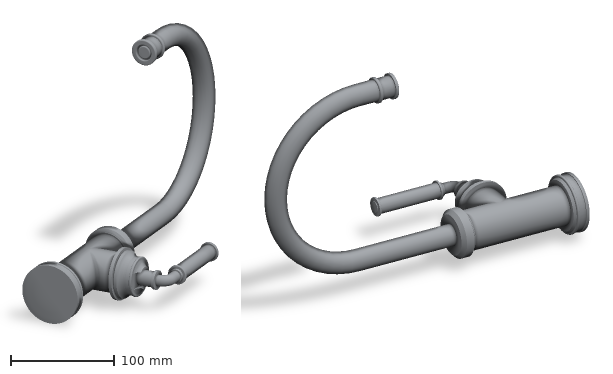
import cadquery as cq

body_radius = 20.3
body_top = 137.5
base_radius = 30.0
base_waist_radius = 29.0
base_foot_height = 3.5
base_rim_bottom = 10.3
base_rim_top = 13.0
base_rim_rounding = 1.0
base_shoulder_radius = 27.5
base_shoulder_top_radius = 25.8
base_height = 15.8
collar_radius = 24.8
collar_seat_radius = 21.5
collar_bottom = 122.5
collar_seat_height = 1.0
collar_lower_chamfer = 1.7
collar_upper_chamfer = 3.8
collar_top_radius = 20.5

total_length = 343.8
spout_radius = 11.0
bend_radius = 90.5
bend_start = total_length - bend_radius - spout_radius
nozzle_height = 2 * bend_radius
nozzle_end = 202.0
nozzle_ring_radius = 13.0
nozzle_ring_width = 3.5
nozzle_inner_ring_offset = 17.5
nozzle_rounding = 1.0
outlet_radius = 8.0
outlet_depth = 3.5
aerator_radius = 6.5
aerator_height = 2.8

branch_height = 81.5
branch_undersize = 0.07
branch_radius = body_radius - branch_undersize
branch_fillet = 2.0
flange_start = 35.5
flange_end = 39.0
flange_radius = 26.0
bonnet_radius = 23.7
bonnet_chamfer = 1.0
bonnet_shoulder = 43.0
bonnet_cove_middle = (45.5, 21.0)
bonnet_neck_start = 49.5
bonnet_neck_radius = 19.3
bonnet_rim_start = 54.0
bonnet_rim_end = 56.7
bonnet_rim_radius = 20.0
bonnet_rim_rounding = 1.0
cap_base_radius = 17.2
cap_cove_middle = (58.0, 13.8)
cap_end_radius = 11.0
cap_end = 61.5
cap_slot_half_width = 8.3
stem_radius = 8.0
stem_ring_start = 73.2
stem_ring_end = 76.0
stem_ring_radius = 9.5

lever_radius = 5.5
lever_axis_x = 86.3
elbow_radius = 9.0
handle_radius = 8.0
handle_ring_radius = 9.5
handle_ring_width = 2.5
handle_ring_rounding = 0.7
handle_seat_radius = 7.0
handle_seat_bottom = 98.5
handle_bottom = 101.8
handle_top = 173.0
handle_button_radius = 6.0
handle_button_height = 0.7


def rod(radius, start, end, x=0.0, z=0.0):
    """Round bar parallel to Y between two Y positions."""
    plane = cq.Plane(origin=(x, start, z), xDir=(1, 0, 0), normal=(0, 1, 0))
    return cq.Workplane(plane).circle(radius).extrude(end - start)


def branch_rod(radius, start, end):
    """Round bar on the branch axis between two X positions."""
    plane = cq.Plane(origin=(start, branch_height, 0), xDir=(0, 1, 0), normal=(1, 0, 0))
    return cq.Workplane(plane).circle(radius).extrude(end - start)


def make_body():
    profile = (
        cq.Workplane("XY")
        .lineTo(base_radius, 0)
        .lineTo(base_radius, base_foot_height)
        .lineTo(base_waist_radius, base_foot_height)
        .lineTo(base_waist_radius, base_rim_bottom)
        .lineTo(base_shoulder_radius, base_rim_top)
        .lineTo(base_shoulder_top_radius, base_height)
        .lineTo(body_radius, base_height)
        .lineTo(body_radius, collar_bottom)
        .lineTo(collar_seat_radius, collar_bottom)
        .lineTo(collar_seat_radius, collar_bottom + collar_seat_height)
        .lineTo(collar_radius, collar_bottom + collar_seat_height + collar_lower_chamfer)
        .lineTo(collar_radius, body_top - collar_upper_chamfer)
        .lineTo(collar_top_radius, body_top)
        .lineTo(0, body_top)
        .close()
    )
    rim = rod(base_radius, base_rim_bottom, base_rim_top).edges().fillet(base_rim_rounding)
    return profile.revolve(360, (0, 0, 0), (0, 1, 0)).union(rim)


def make_column():
    """Body and side branch, blended along their curved joint only."""
    branch = branch_rod(branch_radius, 0, flange_start)
    joint_reach = (body_radius + flange_start) / 2
    joint = cq.selectors.BoxSelector(
        (0, branch_height - joint_reach, -joint_reach),
        (joint_reach, branch_height + joint_reach, joint_reach),
        boundingbox=True,
    )
    return make_body().union(branch).edges(joint).fillet(branch_fillet)


def make_valve():
    plane = cq.Plane(origin=(0, branch_height, 0), xDir=(1, 0, 0), normal=(0, 0, 1))
    profile = (
        cq.Workplane(plane)
        .moveTo(flange_start, 0)
        .lineTo(flange_start, flange_radius)
        .lineTo(flange_end, flange_radius)
        .lineTo(flange_end, bonnet_radius - bonnet_chamfer)
        .lineTo(flange_end + bonnet_chamfer, bonnet_radius)
        .lineTo(bonnet_shoulder, bonnet_radius)
        .threePointArc(bonnet_cove_middle, (bonnet_neck_start, bonnet_neck_radius))
        .lineTo(bonnet_rim_end, bonnet_neck_radius)
        .lineTo(bonnet_rim_end, cap_base_radius)
        .threePointArc(cap_cove_middle, (cap_end, cap_end_radius))
        .lineTo(cap_end, 0)
        .close()
    )
    valve = profile.revolve(360, (0, 0, 0), (1, 0, 0))

    cap_length = cap_end - bonnet_rim_end
    slot = cq.Workplane("XY").box(
        cap_length, cap_base_radius, 2 * cap_slot_half_width, centered=(False, False, True)
    )
    slot = slot.translate((bonnet_rim_end, branch_height - cap_base_radius, 0))
    valve = valve.cut(slot)

    elbow_start = lever_axis_x - elbow_radius
    stem_profile = (
        cq.Workplane(plane)
        .moveTo(bonnet_rim_end, 0)
        .lineTo(bonnet_rim_end, stem_radius)
        .lineTo(stem_ring_end, stem_radius)
        .lineTo(stem_ring_end, lever_radius)
        .lineTo(elbow_start, lever_radius)
        .lineTo(elbow_start, 0)
        .close()
    )
    valve = valve.union(stem_profile.revolve(360, (0, 0, 0), (1, 0, 0)))

    rim = branch_rod(bonnet_rim_radius, bonnet_rim_start, bonnet_rim_end)
    valve = valve.union(rim.edges().fillet(bonnet_rim_rounding))
    return valve.union(branch_rod(stem_ring_radius, stem_ring_start, stem_ring_end))


def make_lever():
    elbow_end = branch_height + elbow_radius
    lever = (
        cq.Workplane("XZ", origin=(lever_axis_x, elbow_end, 0))
        .circle(lever_radius)
        .revolve(90, (-elbow_radius, 0, 0), (-elbow_radius, -1, 0))
    )
    steps = [
        (lever_radius, elbow_end, handle_seat_bottom),
        (handle_seat_radius, handle_seat_bottom, handle_bottom),
        (handle_radius, handle_bottom, handle_top),
        (handle_button_radius, handle_top, handle_top + handle_button_height),
    ]
    for radius, start, end in steps:
        lever = lever.union(rod(radius, start, end, x=lever_axis_x))
    for start in (handle_bottom, handle_top - handle_ring_width):
        ring = rod(handle_ring_radius, start, start + handle_ring_width, x=lever_axis_x)
        lever = lever.union(ring.edges("<Y").fillet(handle_ring_rounding))
    return lever


def make_spout():
    path = (
        cq.Workplane("YZ")
        .moveTo(body_top, 0)
        .lineTo(bend_start, 0)
        .threePointArc((bend_start + bend_radius, bend_radius), (bend_start, nozzle_height))
        .lineTo(nozzle_end, nozzle_height)
    )
    plane = cq.Plane(origin=(0, body_top, 0), xDir=(1, 0, 0), normal=(0, 1, 0))
    spout = cq.Workplane(plane).circle(spout_radius).sweep(path)

    inner_ring_start = nozzle_end + nozzle_inner_ring_offset
    inner_ring_end = inner_ring_start + nozzle_ring_width
    inner_ring = rod(nozzle_ring_radius, inner_ring_start, inner_ring_end, z=nozzle_height)
    spout = spout.union(inner_ring.edges().fillet(nozzle_rounding))

    outlet_floor = nozzle_end + outlet_depth
    outlet = rod(outlet_radius, nozzle_end, outlet_floor, z=nozzle_height)
    end_ring = rod(nozzle_ring_radius, nozzle_end, nozzle_end + nozzle_ring_width, z=nozzle_height)
    lip = end_ring.cut(outlet).edges("<Y").fillet(nozzle_rounding)
    aerator = rod(aerator_radius, outlet_floor - aerator_height, outlet_floor, z=nozzle_height)
    aerator = aerator.edges("<Y").fillet(nozzle_rounding)
    return spout.cut(end_ring).union(lip).union(aerator)


result = make_column().union(make_valve()).union(make_lever()).union(make_spout())